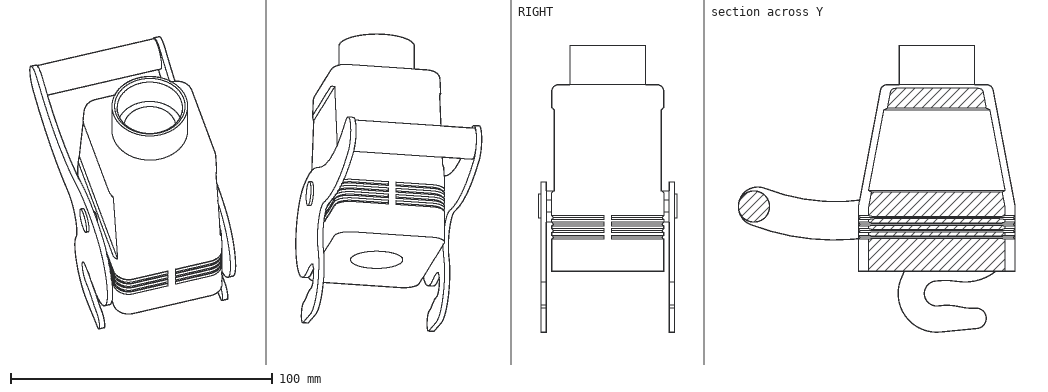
import math

import cadquery as cq


BODY_LENGTH = 60.0
BODY_WIDTH = 43.0
BODY_HEIGHT = 71.5
TAPER_START_Z = 25.0
TOP_LENGTH = 42.4
CORNER_RADIUS = 6.0
TOP_EDGE_RADIUS = 2.75
TAPER_BLEND_RADIUS = 5.0

RECESS_DEPTH = 1.0
RECESS_BOTTOM_Z = 30.0
RECESS_TOP_Z = 62.8

GROOVE_COUNT = 4
GROOVE_PITCH = 2.5
GROOVE_FIRST_Z = 13.05
GROOVE_DEPTH = 0.75
GROOVE_WALL_ANGLE = 45.0
GROOVE_RIB_WIDTH = 3.0

COLLAR_DIAMETER = 29.0
COLLAR_HEIGHT = 15.0
COLLAR_BORE_DIAMETER = 25.0
COLLAR_BORE_DEPTH = 13.0
COLLAR_CHAMFER = 1.0
PASSAGE_DIAMETER = 20.0

PLATE_OUTER_Y = 25.6
PLATE_THICKNESS = 2.1
PIVOT_Z = 25.0
PIVOT_DIAMETER = 4.7
PIVOT_HEAD_DIAMETER = 9.2
PIVOT_HEAD_OUTER_Y = 26.6
BAR_DIAMETER = 12.0

END_CENTRE = (-68.5, 24.8)
END_RADIUS = 7.5
HANDLE_TOP_RADIUS = -75.0
HANDLE_BOTTOM_RADIUS = 90.0
BACK_RADIUS = 48.2
BACK_TO_NOSE_ANGLE = 76.5
NOSE_CENTRE = (10.8, 14.65)
NOSE_RADIUS = 18.8
LIP_RADIUS = -29.9
HOOK_CENTRE = (0.0, -8.5)
HOOK_INNER_RADIUS = -4.75
HOOK_OUTER_RADIUS = 14.86
FINGER_RADIUS = 20.7
FINGER_ANGLE = -81.2
FINGER_HOLLOW_RADIUS = -20.0
TIP_CENTRE = (15.0, -18.0)
TIP_RADIUS = 3.95
NECK_RADIUS = -10.4
NECK_ANGLE = 153.1


def polar(centre, distance, angle):
    """Point at a distance and an angle (radians) from a centre."""
    return (centre[0] + distance * math.cos(angle), centre[1] + distance * math.sin(angle))


def direction(start, end):
    return math.atan2(end[1] - start[1], end[0] - start[0])


def tangent_circle(first, second, radius, side):
    """Circle of the given radius touching two circles; side (+1 or -1) is its side of their centre line."""
    (centre_1, radius_1), (centre_2, radius_2) = first, second
    distance_1 = abs(radius - radius_1)
    distance_2 = abs(radius - radius_2)
    spacing = math.dist(centre_1, centre_2)
    cosine = (distance_1**2 + spacing**2 - distance_2**2) / (2 * distance_1 * spacing)
    angle = direction(centre_1, centre_2) + side * math.acos(cosine)
    return polar(centre_1, distance_1, angle), radius


def touching_point(first, second):
    """Point where two tangent circles with signed radii meet."""
    (centre_1, radius_1), (centre_2, radius_2) = first, second
    share = radius_1 / (radius_1 - radius_2)
    return tuple(a + share * (b - a) for a, b in zip(centre_1, centre_2))


def add_arc(sketch, circle, start, end):
    """Arc from start to end: clockwise on a bulging circle, counter-clockwise on a hollow one."""
    centre, radius = circle
    start_angle = direction(centre, start)
    end_angle = direction(centre, end)
    turn = -1 if radius > 0 else 1
    sweep = turn * ((turn * (end_angle - start_angle)) % (2 * math.pi))
    middle = polar(centre, abs(radius), start_angle + sweep / 2)
    return sketch.threePointArc(middle, end)


def make_lever_profile():
    """Closed lever outline on the XZ plane, a clockwise chain of tangent arcs and one straight edge."""
    end = (END_CENTRE, END_RADIUS)
    nose = (NOSE_CENTRE, NOSE_RADIUS)
    hook_inner = (HOOK_CENTRE, HOOK_INNER_RADIUS)
    hook_outer = (HOOK_CENTRE, HOOK_OUTER_RADIUS)
    tip = (TIP_CENTRE, TIP_RADIUS)

    back_angle = math.radians(BACK_TO_NOSE_ANGLE)
    back = (polar(NOSE_CENTRE, NOSE_RADIUS - BACK_RADIUS, back_angle), BACK_RADIUS)
    handle_top = tangent_circle(end, back, HANDLE_TOP_RADIUS, 1)
    lip = tangent_circle(nose, hook_inner, LIP_RADIUS, 1)
    finger_angle = math.radians(FINGER_ANGLE)
    finger = (polar(HOOK_CENTRE, FINGER_RADIUS - HOOK_INNER_RADIUS, finger_angle), FINGER_RADIUS)
    finger_hollow = tangent_circle(finger, tip, FINGER_HOLLOW_RADIUS, 1)
    neck_angle = math.radians(NECK_ANGLE)
    neck = (polar(HOOK_CENTRE, HOOK_OUTER_RADIUS - NECK_RADIUS, neck_angle), NECK_RADIUS)
    handle_bottom = tangent_circle(neck, end, HANDLE_BOTTOM_RADIUS, -1)

    radius_drop = HOOK_OUTER_RADIUS - TIP_RADIUS
    normal_swing = math.acos(radius_drop / math.dist(HOOK_CENTRE, TIP_CENTRE))
    normal_angle = direction(HOOK_CENTRE, TIP_CENTRE) - normal_swing
    tip_bottom = polar(TIP_CENTRE, TIP_RADIUS, normal_angle)
    hook_bottom = polar(HOOK_CENTRE, HOOK_OUTER_RADIUS, normal_angle)

    upper_chain = [end, handle_top, back, nose, lip, hook_inner, finger, finger_hollow, tip]
    lower_chain = [hook_outer, neck, handle_bottom, end]
    start = touching_point(handle_bottom, end)

    sketch = cq.Workplane("XZ").moveTo(*start)
    previous = start
    for circle, following in zip(upper_chain, upper_chain[1:]):
        joint = touching_point(circle, following)
        sketch = add_arc(sketch, circle, previous, joint)
        previous = joint
    sketch = add_arc(sketch, tip, previous, tip_bottom)
    sketch = sketch.lineTo(*hook_bottom)
    previous = hook_bottom
    for circle, following in zip(lower_chain, lower_chain[1:]):
        joint = touching_point(circle, following)
        sketch = add_arc(sketch, circle, previous, joint)
        previous = joint
    return sketch.close()


def cylinder_along_y(x, z, diameter, y_start, y_end):
    plane = cq.Workplane("XZ", origin=(x, y_start, z))
    return plane.circle(diameter / 2).extrude(y_start - y_end)


def make_body():
    """Straight base and tapered upper part, with rounded corners and top edge."""
    half_base = BODY_LENGTH / 2
    half_top = TOP_LENGTH / 2
    outline = [
        (-half_base, 0),
        (half_base, 0),
        (half_base, TAPER_START_Z),
        (half_top, BODY_HEIGHT),
        (-half_top, BODY_HEIGHT),
        (-half_base, TAPER_START_Z),
    ]
    body = cq.Workplane("XZ").polyline(outline).close().extrude(BODY_WIDTH / 2, both=True)

    bends = body.edges("|Y").edges("<X or >X").edges(">Z")
    body = bends.fillet(TAPER_BLEND_RADIUS)
    body = body.faces("<Y or >Y").edges("not #Z").fillet(CORNER_RADIUS)
    return body.faces(">Z").edges().fillet(TOP_EDGE_RADIUS)


def make_side_recesses():
    """Cutters for the recesses in the -Y and +Y sides, running the full length of the body."""
    half_width = BODY_WIDTH / 2
    floor_y = half_width - RECESS_DEPTH
    profile = [
        (half_width, RECESS_BOTTOM_Z),
        (floor_y, RECESS_BOTTOM_Z + RECESS_DEPTH),
        (floor_y, RECESS_TOP_Z - RECESS_DEPTH),
        (half_width, RECESS_TOP_Z),
    ]
    cutter = cq.Workplane("YZ").polyline(profile).close().extrude(BODY_LENGTH / 2, both=True)
    return cutter.union(cutter.mirror("XZ"))


def make_grip_grooves():
    """Cutters for the V grooves, following the rounded outline of the base."""
    outline = cq.Sketch().rect(BODY_LENGTH, BODY_WIDTH).vertices().fillet(CORNER_RADIUS)
    narrowing = cq.Workplane("XY").placeSketch(outline).extrude(GROOVE_DEPTH, taper=GROOVE_WALL_ANGLE)
    lower_half = narrowing.translate((0, 0, -GROOVE_DEPTH))
    waist = lower_half.union(lower_half.mirror("XY"))

    blank = cq.Workplane("XY").box(BODY_LENGTH, BODY_WIDTH, 2 * GROOVE_DEPTH)
    rib = cq.Workplane("XY").box(BODY_LENGTH, GROOVE_RIB_WIDTH, 2 * GROOVE_DEPTH)
    groove = blank.cut(waist).cut(rib)

    grooves = cq.Workplane("XY")
    for index in range(GROOVE_COUNT):
        grooves = grooves.add(groove.translate((0, 0, GROOVE_FIRST_Z + index * GROOVE_PITCH)))
    return grooves.combine()


def make_collar():
    collar = cq.Workplane("XY", origin=(0, 0, BODY_HEIGHT))
    return collar.circle(COLLAR_DIAMETER / 2).extrude(COLLAR_HEIGHT)


def make_entry_bore():
    """Chamfered bore in the collar, stepping down to a passage through the whole hood."""
    top_z = BODY_HEIGHT + COLLAR_HEIGHT
    floor_z = top_z - COLLAR_BORE_DEPTH
    bore_radius = COLLAR_BORE_DIAMETER / 2
    passage_radius = PASSAGE_DIAMETER / 2
    profile = [
        (0, 0),
        (passage_radius, 0),
        (passage_radius, floor_z),
        (bore_radius, floor_z),
        (bore_radius, top_z - COLLAR_CHAMFER),
        (bore_radius + COLLAR_CHAMFER, top_z),
        (0, top_z),
    ]
    return cq.Workplane("XZ").polyline(profile).close().revolve(360, (0, 0), (0, 1))


def make_lever():
    """Both side plates, the handle bar between them and the pivot pins into the hood."""
    plate_inner_y = PLATE_OUTER_Y - PLATE_THICKNESS
    plate = make_lever_profile().extrude(-PLATE_THICKNESS).translate((0, plate_inner_y, 0))
    pin = cylinder_along_y(0, PIVOT_Z, PIVOT_DIAMETER, BODY_WIDTH / 2 - RECESS_DEPTH, PLATE_OUTER_Y)
    head = cylinder_along_y(0, PIVOT_Z, PIVOT_HEAD_DIAMETER, PLATE_OUTER_Y, PIVOT_HEAD_OUTER_Y)
    side = plate.union(pin).union(head)

    bar_x = END_CENTRE[0] - END_RADIUS + BAR_DIAMETER / 2
    bar = cylinder_along_y(bar_x, END_CENTRE[1], BAR_DIAMETER, -plate_inner_y, plate_inner_y)
    return side.union(side.mirror("XZ")).union(bar)


hood = make_body().cut(make_side_recesses()).cut(make_grip_grooves())
hood = hood.union(make_collar()).cut(make_entry_bore())
result = hood.union(make_lever())